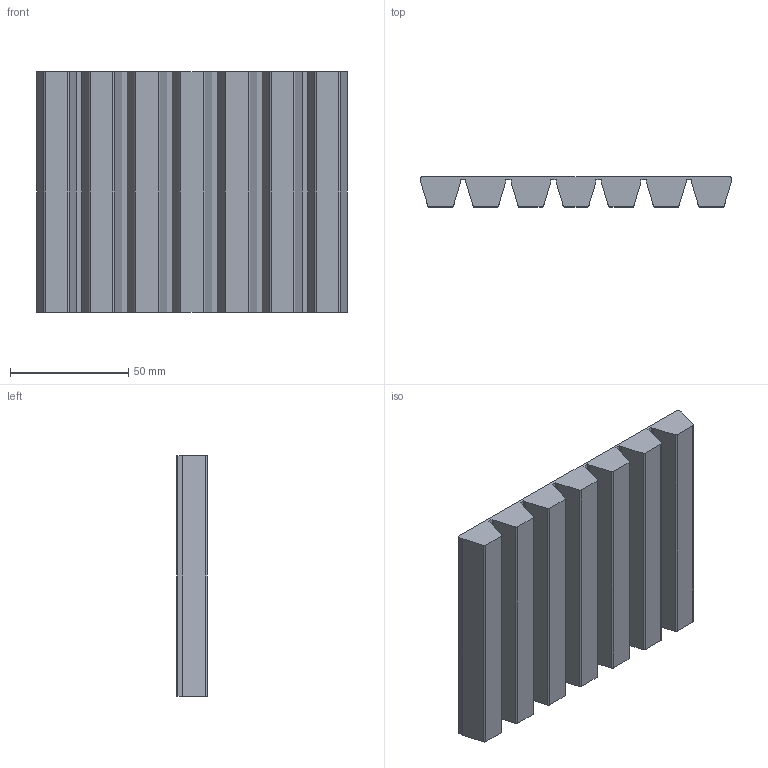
import cadquery as cq

TOOTH_COUNT = 7
TOOTH_PITCH = 19.05
TOOTH_BASE_WIDTH = 16.764
TOOTH_TIP_WIDTH = 10.47
DEPTH = 12.7
HEIGHT = 101.6
WEB_THICKNESS = 1.143
STRAIGHT_DEPTH = 2.29
TIP_RADIUS = 0.7
BACK_CORNER_RADIUS = 0.4

TOTAL_WIDTH = (TOOTH_COUNT - 1) * TOOTH_PITCH + TOOTH_BASE_WIDTH
FIRST_TOOTH_X = -(TOOTH_COUNT - 1) * TOOTH_PITCH / 2
BACK_Y = DEPTH / 2
TIP_Y = -DEPTH / 2
FLANK_START_Y = BACK_Y - STRAIGHT_DEPTH


def make_web():
    """Thin sheet that carries all the teeth along the back face."""
    return cq.Workplane("XY").box(TOTAL_WIDTH, WEB_THICKNESS, HEIGHT).translate(
        (0, BACK_Y - WEB_THICKNESS / 2, 0)
    )


def make_tooth(center_x):
    """Full-height tooth: straight at the root, then tapering to a tip with rounded corners."""
    half_base = TOOTH_BASE_WIDTH / 2
    half_tip = TOOTH_TIP_WIDTH / 2
    tooth = (
        cq.Workplane("XY")
        .moveTo(-half_base, BACK_Y)
        .lineTo(-half_base, FLANK_START_Y)
        .lineTo(-half_tip, TIP_Y)
        .lineTo(half_tip, TIP_Y)
        .lineTo(half_base, FLANK_START_Y)
        .lineTo(half_base, BACK_Y)
        .close()
        .extrude(HEIGHT / 2, both=True)
    )
    tooth = tooth.faces("<Y").edges("|Z").fillet(TIP_RADIUS)
    return tooth.translate((center_x, 0, 0))


def round_back_corners(body):
    """Round the two outer vertical edges of the back face."""
    return body.faces(">Y").edges("|Z").fillet(BACK_CORNER_RADIUS)


body = make_web()
for index in range(TOOTH_COUNT):
    body = body.union(make_tooth(FIRST_TOOTH_X + index * TOOTH_PITCH))

result = round_back_corners(body.clean())